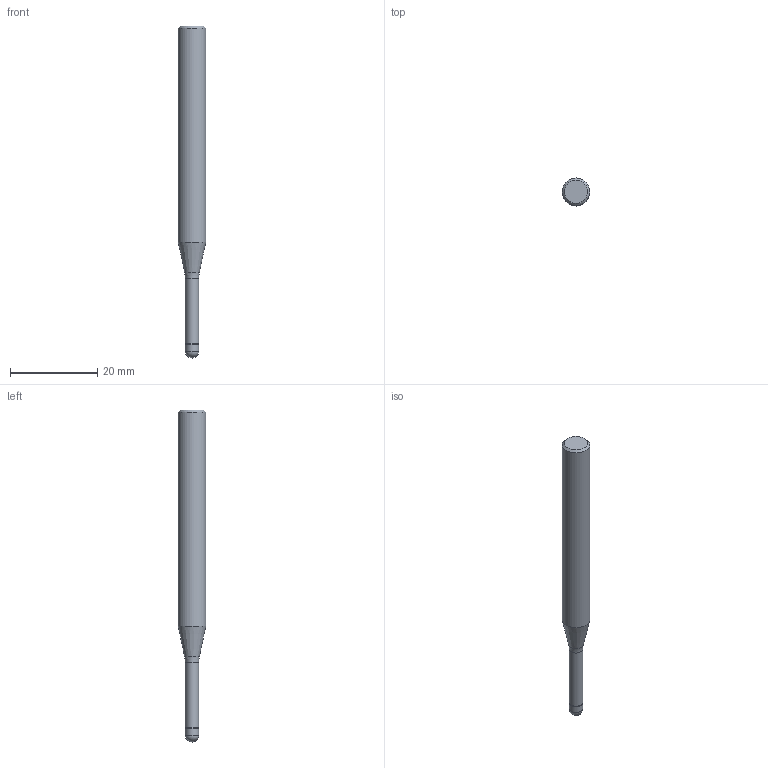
import cadquery as cq
import math

overall_length = 76.2
shank_diameter = 6.35
cutter_diameter = 3.175

shank_chamfer = 0.5
taper_top = 26.6
taper_half_angle = math.radians(12)
neck_diameter = 3.1
neck_fillet_radius = 6.35

cutter_length = 3.175
relief_height = 0.2

shank_radius = shank_diameter / 2
neck_radius = neck_diameter / 2
ball_radius = cutter_diameter / 2

taper_neck_corner = taper_top - (shank_radius - neck_radius) / math.tan(taper_half_angle)
fillet_bottom = taper_neck_corner - neck_fillet_radius * math.tan(taper_half_angle / 2)


def fillet_point(angle):
    """Point (radius, height) on the neck fillet where it leans outward by the given angle."""
    return (
        neck_radius + neck_fillet_radius * (1 - math.cos(angle)),
        fillet_bottom + neck_fillet_radius * math.sin(angle),
    )


def revolve_profile(profile):
    """Turn a closed half-profile (radius, height) about the tool axis."""
    return profile.revolve(360, (0, 0, 0), (0, 1, 0))


profile_plane = cq.Plane(origin=(0, 0, 0), xDir=(0, -1, 0), normal=(-1, 0, 0))


def make_cutter():
    """Cutting head: a short cylinder ending in a hemispherical nose."""
    nose_offset = ball_radius * math.sin(math.radians(45))
    profile = (
        cq.Workplane(profile_plane)
        .lineTo(0, cutter_length)
        .lineTo(ball_radius, cutter_length)
        .lineTo(ball_radius, ball_radius)
        .threePointArc((nose_offset, ball_radius - nose_offset), (0, 0))
        .close()
    )
    return revolve_profile(profile)


def make_shank():
    """Relieved neck, filleted taper and chamfered shank, standing on the cutting head."""
    profile = (
        cq.Workplane(profile_plane)
        .moveTo(0, cutter_length)
        .lineTo(ball_radius, cutter_length)
        .lineTo(neck_radius, cutter_length + relief_height)
        .lineTo(*fillet_point(0))
        .threePointArc(fillet_point(taper_half_angle / 2), fillet_point(taper_half_angle))
        .lineTo(shank_radius, taper_top)
        .lineTo(shank_radius, overall_length - shank_chamfer)
        .lineTo(shank_radius - shank_chamfer, overall_length)
        .lineTo(0, overall_length)
        .close()
    )
    return revolve_profile(profile)


cutter = make_cutter()
shank = make_shank()

result = cq.Compound.makeCompound([cutter.val(), shank.val()])